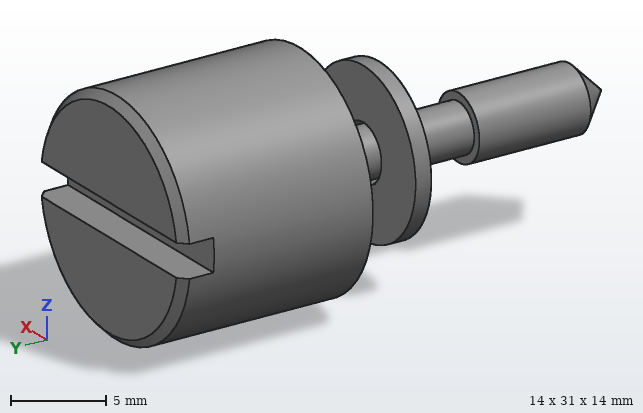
import cadquery as cq
import math

head_radius = 7.0
head_length = 14.0
dome_height = 2.0
head_chamfer = 0.5
slot_width = 2.0
slot_depth = 2.0

neck_radius = 1.5
neck_length = 8.0
thread_radius = 2.0
thread_length = 9.0
tip_length = thread_radius

washer_radius = 5.0
washer_hole_radius = 1.75
washer_thickness = 1.0
washer_gap = 2.0

thread_start_y = -neck_length
tip_y = thread_start_y - thread_length
cone_start_y = tip_y + tip_length
washer_top_y = -washer_gap

dome_centre_y = (head_radius**2 - neck_radius**2 + dome_height**2) / (2 * dome_height)
dome_sphere_radius = math.hypot(neck_radius, dome_centre_y)
dome_mid_radius = (neck_radius + head_radius) / 2
dome_mid_y = dome_centre_y - math.sqrt(dome_sphere_radius**2 - dome_mid_radius**2)


def make_screw():
    """Head, neck, thread and point revolved as one body, then slotted."""
    body = (
        cq.Workplane("XY")
        .moveTo(0, tip_y)
        .lineTo(thread_radius, cone_start_y)
        .lineTo(thread_radius, thread_start_y)
        .lineTo(neck_radius, thread_start_y)
        .lineTo(neck_radius, 0)
        .threePointArc((dome_mid_radius, dome_mid_y), (head_radius, dome_height))
        .lineTo(head_radius, head_length - head_chamfer)
        .lineTo(head_radius - head_chamfer, head_length)
        .lineTo(0, head_length)
        .close()
        .revolve(360, (0, 0, 0), (0, 1, 0))
    )
    slot = (
        cq.Workplane("XY")
        .box(2 * head_radius, slot_depth, slot_width)
        .translate((0, head_length - slot_depth / 2, 0))
    )
    return body.cut(slot)


def make_washer():
    """Flat ring held loosely on the neck."""
    return (
        cq.Workplane("XZ", origin=(0, washer_top_y, 0))
        .circle(washer_radius)
        .circle(washer_hole_radius)
        .extrude(washer_thickness)
    )


screw = make_screw()
washer = make_washer()

result = cq.Compound.makeCompound([screw.val(), washer.val()])